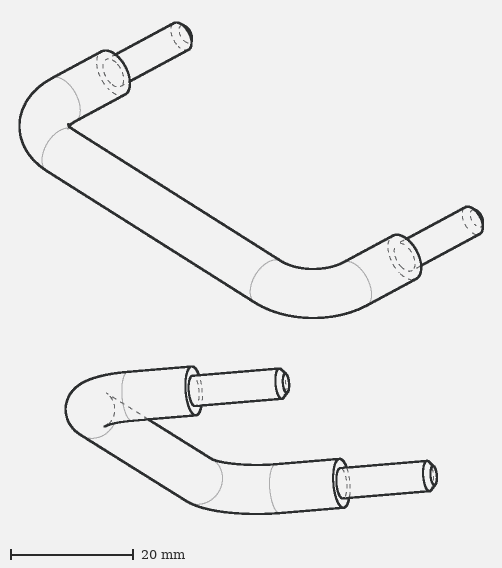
import cadquery as cq

overall_length = 78.0
overall_depth = 41.0
bar_diameter = 8.0
bend_radius = 10.0
pin_diameter = 5.0
pin_length = 16.0
pin_chamfer = 0.9

leg_x = (overall_length - bar_diameter) / 2
pin_tip_y = overall_depth - bar_diameter / 2
shoulder_y = pin_tip_y - pin_length
grip_end_x = leg_x - bend_radius


def make_bar():
    """Round bar bent into a U, with flat shoulders at both leg ends."""
    centreline = (
        cq.Workplane("XY")
        .moveTo(-leg_x, shoulder_y)
        .lineTo(-leg_x, bend_radius)
        .radiusArc((-grip_end_x, 0), -bend_radius)
        .lineTo(grip_end_x, 0)
        .radiusArc((leg_x, bend_radius), -bend_radius)
        .lineTo(leg_x, shoulder_y)
    )
    leg_end = cq.Workplane("XZ", origin=(-leg_x, shoulder_y, 0))
    return leg_end.circle(bar_diameter / 2).sweep(centreline)


def make_pin(x):
    """Mounting pin extending from a leg shoulder, chamfered at its tip."""
    return (
        cq.Workplane("XZ", origin=(x, shoulder_y, 0))
        .circle(pin_diameter / 2)
        .extrude(-pin_length)
        .faces(">Y")
        .chamfer(pin_chamfer)
    )


result = make_bar()
for pin_x in (-leg_x, leg_x):
    result = result.union(make_pin(pin_x))